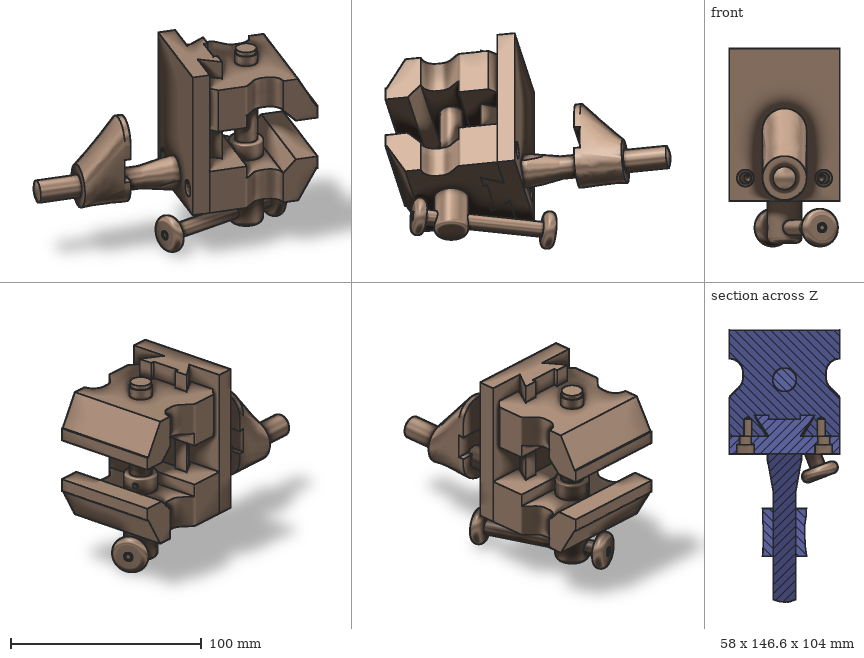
import cadquery as cq
import math


PLATE_WIDTH = 58.0
PLATE_HEIGHT = 80.0
PLATE_THICKNESS = 9.4
RAIL_DEPTH = 11.1
RAIL_HALF_WIDTH = 16.0
RAIL_NECK_HALF_WIDTH = 8.5
RAIL_GROOVE_HALF_WIDTH = 8.0
RAIL_GROOVE_DEPTH = 2.2

JAW_HEIGHT = 24.0
JAW_LENGTH = 59.5
JAW_NECK_HEIGHT = 17.2
JAW_STEP_Y = 20.5
JAW_NECK_END_Y = 40.6
NOSE_BEVEL_Y = 48.8
NOSE_LIP = 0.7
SLOT_NECK_HALF_WIDTH = 9.4
SCALLOP_RADIUS = 7.2
SCALLOP_EDGE_FILLET = 3.0
UPPER_JAW_CHAMFER = 4.7
UPPER_JAW_TOP = 70.5

SCREW_X = 20.5
SCREW_Z = JAW_HEIGHT / 2
COUNTERBORE_DIAMETER = 9.0
COUNTERBORE_DEPTH = 5.0
SCREW_HOLE_DIAMETER = 6.0
PILOT_X = SCREW_X - 1.3
PILOT_DIAMETER = 4.0
PILOT_DEPTH = 8.8
DRILL_HALF_ANGLE = 59

SPINDLE_Y = 29.6
SPINDLE_DIAMETER = 12.0
SPINDLE_TOP = 78.3
SPINDLE_TIP_DIAMETER = 11.0
SPINDLE_TIP_LENGTH = 2.3
HEAD_DIAMETER = 18.0
HEAD_LENGTH = 22.0
HEAD_FILLET = 3.0
COLLAR_HEIGHT = 8.8
COLLAR_FILLET = 0.9
CROSS_PIN_DIAMETER = 3.0
CROSS_PIN_Z = 22.0

TOGGLE_ANGLE = 21
TOGGLE_Z = -14.0
TOGGLE_DIAMETER = 8.0
FRONT_KNOB_DISTANCE = 51.8
REAR_KNOB_DISTANCE = 17.5
KNOB_DIAMETER = 20.0
KNOB_THICKNESS = 6.5
TENON_DIAMETER = 4.0
TENON_TIP_DIAMETER = 3.0
COUNTERSINK_DIAMETER = 5.0

STUD_Z = JAW_HEIGHT / 2
STUD_BASE_DIAMETER = 18.0
STUD_BASE_LENGTH = 3.0
STUD_CONE_END = 19.8
STUD_DIAMETER = 12.0
STUD_DOME_START = 76.2
STUD_LENGTH = 77.7
FLAT_DISTANCE = 7.5
FLAT_ANGLE = 40

BLOCK_RADIUS = 11.6
BLOCK_REAR = 28.5
BLOCK_FLANGE_THICKNESS = 3.2
BLOCK_FRONT = 53.7
BLOCK_UPPER_Z = 37.0
BLOCK_SLOT_BOTTOM = 15.8
BLOCK_SLOT_TOP = 28.9
BLOCK_TWIST = 12

RUN_OUT_HALF_ANGLE = math.radians(22.5)

PLATE_FRONT_Y = -PLATE_THICKNESS


def rod(diameter, length):
    """A cylinder on the Z axis that starts at Z = 0."""
    return cq.Workplane("XY").circle(diameter / 2).extrude(length)


def dovetail(neck_half_width, height):
    """The rail's prism from the plate up, with a shallow groove along its wide face."""
    groove_floor_y = RAIL_DEPTH - RAIL_GROOVE_DEPTH
    outline = [
        (-neck_half_width, 0),
        (-RAIL_HALF_WIDTH, RAIL_DEPTH),
        (-RAIL_GROOVE_HALF_WIDTH, RAIL_DEPTH),
        (-RAIL_GROOVE_HALF_WIDTH, groove_floor_y),
        (RAIL_GROOVE_HALF_WIDTH, groove_floor_y),
        (RAIL_GROOVE_HALF_WIDTH, RAIL_DEPTH),
        (RAIL_HALF_WIDTH, RAIL_DEPTH),
        (neck_half_width, 0),
    ]
    return cq.Workplane("XY").polyline(outline).close().extrude(height)


def make_plate():
    plate = (
        cq.Workplane("XY")
        .box(PLATE_WIDTH, PLATE_THICKNESS, PLATE_HEIGHT, centered=(True, False, False))
        .translate((0, PLATE_FRONT_Y, 0))
        .union(dovetail(RAIL_NECK_HALF_WIDTH, PLATE_HEIGHT))
    )
    screw_holes = (
        cq.Workplane("XZ", origin=(0, PLATE_FRONT_Y, 0))
        .pushPoints([(-SCREW_X, SCREW_Z), (SCREW_X, SCREW_Z)])
    )
    counterbores = screw_holes.circle(COUNTERBORE_DIAMETER / 2).extrude(-COUNTERBORE_DEPTH)
    through_holes = screw_holes.circle(SCREW_HOLE_DIAMETER / 2).extrude(-PLATE_THICKNESS)
    return plate.cut(counterbores).cut(through_holes)


def scallop():
    """The hollow in the jaw's -X side: two arcs joined by a flat, running out at 45 degrees."""
    edge_x = -PLATE_WIDTH / 2
    floor_x = edge_x + SCALLOP_RADIUS
    diagonal = SCALLOP_RADIUS * math.sqrt(0.5)
    upper_center_y = JAW_NECK_END_Y - SCALLOP_RADIUS
    lower_center_y = JAW_STEP_Y + SCALLOP_RADIUS * math.sqrt(2)
    lower_mid = (
        edge_x + SCALLOP_RADIUS * math.cos(RUN_OUT_HALF_ANGLE),
        lower_center_y - SCALLOP_RADIUS * math.sin(RUN_OUT_HALF_ANGLE),
    )
    return (
        cq.Workplane("XY")
        .moveTo(edge_x, JAW_NECK_END_Y)
        .threePointArc((edge_x + diagonal, upper_center_y + diagonal), (floor_x, upper_center_y))
        .lineTo(floor_x, lower_center_y)
        .threePointArc(lower_mid, (edge_x + diagonal, lower_center_y - diagonal))
        .lineTo(edge_x, JAW_STEP_Y)
        .close()
        .extrude(JAW_HEIGHT)
    )


def scallop_corner_cut():
    """What rounding off the -X corner at the scallop's run-out removes."""
    edge_x = -PLATE_WIDTH / 2
    tangent = SCALLOP_EDGE_FILLET * math.tan(RUN_OUT_HALF_ANGLE)
    center_x = edge_x + SCALLOP_EDGE_FILLET
    center_y = JAW_STEP_Y - tangent
    mid_angle = math.pi - RUN_OUT_HALF_ANGLE
    arc_mid = (
        center_x + SCALLOP_EDGE_FILLET * math.cos(mid_angle),
        center_y + SCALLOP_EDGE_FILLET * math.sin(mid_angle),
    )
    arc_end = (edge_x + tangent * math.sqrt(0.5), JAW_STEP_Y + tangent * math.sqrt(0.5))
    return (
        cq.Workplane("XY")
        .moveTo(edge_x, center_y)
        .threePointArc(arc_mid, arc_end)
        .lineTo(edge_x, JAW_STEP_Y)
        .close()
        .extrude(JAW_HEIGHT)
    )


def make_jaw():
    """A jaw in the lower position with its gripping side up."""
    nose_rise = JAW_HEIGHT - JAW_NECK_HEIGHT
    side_profile = [
        (0, 0),
        (NOSE_BEVEL_Y, 0),
        (JAW_LENGTH - NOSE_LIP, JAW_NECK_HEIGHT),
        (JAW_LENGTH, JAW_NECK_HEIGHT),
        (JAW_LENGTH, JAW_HEIGHT),
        (JAW_NECK_END_Y + nose_rise, JAW_HEIGHT),
        (JAW_NECK_END_Y, JAW_NECK_HEIGHT),
        (JAW_STEP_Y, JAW_NECK_HEIGHT),
        (JAW_STEP_Y, JAW_HEIGHT),
        (0, JAW_HEIGHT),
    ]
    jaw = cq.Workplane("YZ").polyline(side_profile).close().extrude(PLATE_WIDTH / 2, both=True)
    hollow = scallop()
    corner = scallop_corner_cut()
    spindle_hole = rod(SPINDLE_DIAMETER, JAW_HEIGHT).translate((0, SPINDLE_Y, 0))
    return (
        jaw.cut(hollow)
        .cut(hollow.mirror("YZ"))
        .cut(corner)
        .cut(corner.mirror("YZ"))
        .cut(dovetail(SLOT_NECK_HALF_WIDTH, JAW_HEIGHT))
        .cut(spindle_hole)
    )


def make_lower_jaw():
    """The fixed jaw, with drilled pilot holes for the plate's screws."""
    radius = PILOT_DIAMETER / 2
    point_depth = PILOT_DEPTH + radius / math.tan(math.radians(DRILL_HALF_ANGLE))
    drill = (
        cq.Workplane("XY")
        .polyline([(0, 0), (radius, 0), (radius, PILOT_DEPTH), (0, point_depth)])
        .close()
        .revolve(360, (0, 0, 0), (0, 1, 0))
    )
    jaw = make_jaw()
    for x in (-PILOT_X, PILOT_X):
        jaw = jaw.cut(drill.translate((x, 0, SCREW_Z)))
    return jaw


def make_upper_jaw():
    """The sliding jaw: the lower one turned over, with its corners at the plate bevelled."""
    jaw = make_jaw().mirror("XY").translate((0, 0, UPPER_JAW_TOP))
    return jaw.edges("|Z and <Y and (<X or >X)").chamfer(UPPER_JAW_CHAMFER)


def cross_pin():
    """The cylinder of the pin hole across collar and spindle, in line with the toggle bar."""
    return (
        rod(CROSS_PIN_DIAMETER, HEAD_DIAMETER)
        .translate((0, 0, -HEAD_DIAMETER / 2))
        .rotate((0, 0, 0), (1, 0, 0), 90)
        .rotate((0, 0, 0), (0, 0, 1), TOGGLE_ANGLE)
        .translate((0, SPINDLE_Y, CROSS_PIN_Z))
    )


def place_along_toggle(body):
    """Lays a body made on the Z axis along the toggle bar, +Z pointing to the front knob."""
    return (
        body.rotate((0, 0, 0), (1, 0, 0), 90)
        .rotate((0, 0, 0), (0, 0, 1), TOGGLE_ANGLE)
        .translate((0, SPINDLE_Y, TOGGLE_Z))
    )


def make_spindle():
    shank = rod(SPINDLE_DIAMETER, SPINDLE_TOP - SPINDLE_TIP_LENGTH)
    tip = rod(SPINDLE_TIP_DIAMETER, SPINDLE_TOP)
    head = (
        rod(HEAD_DIAMETER, HEAD_LENGTH)
        .translate((0, 0, -HEAD_LENGTH))
        .faces("<Z")
        .edges()
        .fillet(HEAD_FILLET)
    )
    toggle_hole = rod(TOGGLE_DIAMETER, HEAD_DIAMETER).translate((0, 0, -HEAD_DIAMETER / 2))
    spindle = shank.union(tip).union(head).translate((0, SPINDLE_Y, 0))
    return spindle.cut(place_along_toggle(toggle_hole)).cut(cross_pin())


def make_collar():
    return (
        rod(HEAD_DIAMETER, COLLAR_HEIGHT)
        .faces(">Z")
        .edges()
        .fillet(COLLAR_FILLET)
        .cut(rod(SPINDLE_DIAMETER, COLLAR_HEIGHT))
        .translate((0, SPINDLE_Y, JAW_NECK_HEIGHT))
        .cut(cross_pin())
    )


def make_toggle_bar():
    """The bar between the knobs, with a thin bevelled tenon through each knob."""
    half_knob = KNOB_THICKNESS / 2
    bar_start = half_knob - REAR_KNOB_DISTANCE
    bar_end = FRONT_KNOB_DISTANCE - half_knob
    tenon_length = bar_end - bar_start + 2 * KNOB_THICKNESS
    tip_bevel = (TENON_DIAMETER - TENON_TIP_DIAMETER) / 2
    bar = rod(TOGGLE_DIAMETER, bar_end - bar_start).translate((0, 0, bar_start))
    tenons = (
        rod(TENON_DIAMETER, tenon_length)
        .faces("<Z or >Z")
        .chamfer(tip_bevel)
        .translate((0, 0, bar_start - KNOB_THICKNESS))
    )
    return place_along_toggle(bar.union(tenons))


def make_knob(distance, outward):
    """A round-edged disc, countersunk on its outer face; outward is +1 in front, -1 at the rear."""
    half = KNOB_THICKNESS / 2
    face_radius = KNOB_DIAMETER / 2 - half
    hole_radius = TENON_DIAMETER / 2
    mouth_radius = COUNTERSINK_DIAMETER / 2
    countersink_depth = mouth_radius - hole_radius
    knob = (
        cq.Workplane("XZ")
        .moveTo(hole_radius, -half)
        .lineTo(face_radius, -half)
        .threePointArc((KNOB_DIAMETER / 2, 0), (face_radius, half))
        .lineTo(mouth_radius, half)
        .lineTo(hole_radius, half - countersink_depth)
        .close()
        .revolve(360, (0, 0, 0), (0, 1, 0))
    )
    if outward < 0:
        knob = knob.mirror("XY")
    return place_along_toggle(knob.translate((0, 0, outward * distance)))


def make_stud():
    base_radius = STUD_BASE_DIAMETER / 2
    radius = STUD_DIAMETER / 2
    dome_height = STUD_LENGTH - STUD_DOME_START
    dome_radius = (radius**2 + dome_height**2) / (2 * dome_height)
    mid_radius = radius / 2
    mid_length = STUD_LENGTH - dome_radius + math.sqrt(dome_radius**2 - mid_radius**2)
    stud = (
        cq.Workplane("XZ")
        .moveTo(0, 0)
        .lineTo(base_radius, 0)
        .lineTo(base_radius, STUD_BASE_LENGTH)
        .lineTo(radius, STUD_CONE_END)
        .lineTo(radius, STUD_DOME_START)
        .threePointArc((mid_radius, mid_length), (0, STUD_LENGTH))
        .close()
        .revolve(360, (0, 0, 0), (0, 1, 0))
    )
    beyond_flat = (
        cq.Workplane("XY")
        .box(STUD_BASE_DIAMETER, STUD_BASE_DIAMETER, STUD_CONE_END, centered=(False, True, False))
        .translate((FLAT_DISTANCE, 0, 0))
    )
    for turn in (-FLAT_ANGLE, 180 - FLAT_ANGLE):
        stud = stud.cut(beyond_flat.rotate((0, 0, 0), (0, 0, 1), turn))
    return stud.rotate((0, 0, 0), (1, 0, 0), 90).translate((0, PLATE_FRONT_Y, STUD_Z))


def block_plane(distance):
    """A plane across the stud; its local axes are X and the height above the stud axis."""
    return cq.Workplane("XZ", origin=(0, PLATE_FRONT_Y - distance, STUD_Z))


def block_outline(distance):
    """The slot-shaped outline of the block's rear part."""
    rise = BLOCK_UPPER_Z - STUD_Z
    return (
        block_plane(distance)
        .moveTo(BLOCK_RADIUS, 0)
        .lineTo(BLOCK_RADIUS, rise)
        .threePointArc((0, rise + BLOCK_RADIUS), (-BLOCK_RADIUS, rise))
        .lineTo(-BLOCK_RADIUS, 0)
        .threePointArc((0, -BLOCK_RADIUS), (BLOCK_RADIUS, 0))
        .close()
    )


def block_end_circle(distance):
    """The round front end, split in the same proportions as the slot-shaped outline."""
    rise = BLOCK_UPPER_Z - STUD_Z
    half_round = math.pi * BLOCK_RADIUS
    half_span = 90 * half_round / (half_round + rise)

    def on_circle(angle):
        turn = math.radians(angle - BLOCK_TWIST)
        return (BLOCK_RADIUS * math.cos(turn), BLOCK_RADIUS * math.sin(turn))

    return (
        block_plane(distance)
        .moveTo(*on_circle(half_span - 90))
        .threePointArc(on_circle(0), on_circle(90 - half_span))
        .threePointArc(on_circle(90), on_circle(90 + half_span))
        .threePointArc(on_circle(180), on_circle(270 - half_span))
        .threePointArc(on_circle(270), on_circle(half_span - 90))
        .close()
    )


def make_block():
    taper_start = BLOCK_REAR + BLOCK_FLANGE_THICKNESS
    flange = block_outline(BLOCK_REAR).extrude(BLOCK_FLANGE_THICKNESS)
    ends = [block_outline(taper_start).val(), block_end_circle(BLOCK_FRONT).val()]
    taper = cq.Workplane(cq.Solid.makeLoft(ends, True))
    slot = (
        block_plane(BLOCK_REAR)
        .center(0, (BLOCK_SLOT_BOTTOM + BLOCK_SLOT_TOP) / 2 - STUD_Z)
        .rect(2 * BLOCK_RADIUS, BLOCK_SLOT_TOP - BLOCK_SLOT_BOTTOM)
        .extrude(BLOCK_FLANGE_THICKNESS)
    )
    bore = block_plane(BLOCK_REAR).circle(STUD_DIAMETER / 2).extrude(BLOCK_FRONT - BLOCK_REAR)
    return flange.cut(slot).union(taper).cut(bore)


plate = make_plate()
lower_jaw = make_lower_jaw()
upper_jaw = make_upper_jaw()
spindle = make_spindle()
collar = make_collar()
toggle_bar = make_toggle_bar()
knobs = [
    make_knob(distance, outward)
    for distance, outward in ((FRONT_KNOB_DISTANCE, 1), (REAR_KNOB_DISTANCE, -1))
]
stud = make_stud()
block = make_block()

result = cq.Compound.makeCompound(
    [
        plate.val(),
        lower_jaw.val(),
        upper_jaw.val(),
        spindle.val(),
        collar.val(),
        toggle_bar.val(),
        *[knob.val() for knob in knobs],
        stud.val(),
        block.val(),
    ]
)